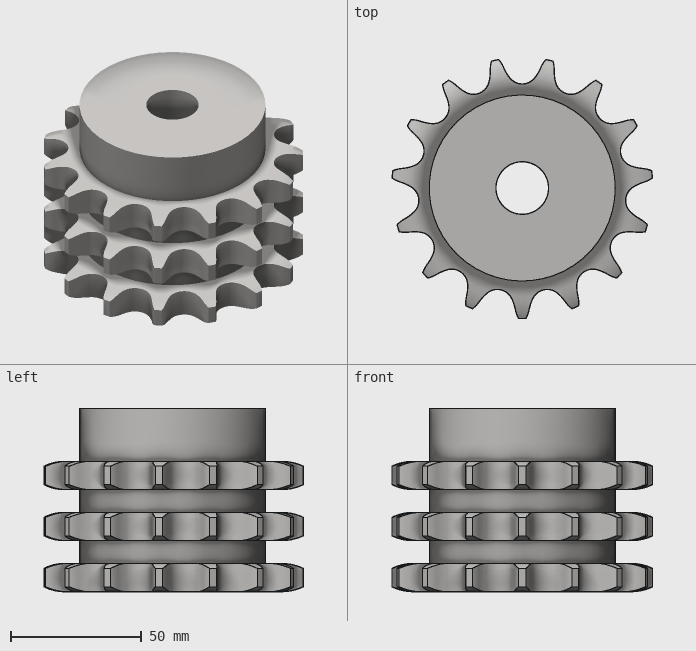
import cadquery as cq
import math


tooth_count = 15
pitch_diameter = 91.6
outer_diameter = 99.8
roller_diameter = 11.9
seat_clearance = 0.04
row_count = 3
row_spacing = 19.5
tooth_width = 10.8
tip_relief_radius = 19.0
tip_relief_drop = 1.9
hub_diameter = 71.0
bore_diameter = 20.0
total_height = 70.0

pitch_radius = pitch_diameter / 2
outer_radius = outer_diameter / 2
half_pitch_angle = 180 / tooth_count

seat_angle = 35 + 60 / tooth_count
working_angle = 18 - 56 / tooth_count
tip_angle = 17 - 64 / tooth_count
seat_radius = 0.5025 * roller_diameter + seat_clearance
working_radius = 1.3025 * roller_diameter + seat_clearance
working_offset = 0.8 * roller_diameter
tip_offset = 1.4 * roller_diameter
straight_length = (
    tip_offset * math.sin(math.radians(tip_angle))
    - working_offset * math.sin(math.radians(working_angle))
)


def polar(center, radius, degrees):
    """Point at a distance and direction from a centre."""
    angle = math.radians(degrees)
    return (center[0] + radius * math.cos(angle), center[1] + radius * math.sin(angle))


def turned(point, degrees):
    """Point turned about the sprocket axis."""
    distance = math.hypot(point[0], point[1])
    return polar((0, 0), distance, math.degrees(math.atan2(point[1], point[0])) + degrees)


def flank_points():
    """Right flank of the gap centred on +Y, from the bottom of the seat to the pointed tip."""
    flank_angle = seat_angle - working_angle
    roller_center = (0, pitch_radius)

    seat_bottom = polar(roller_center, seat_radius, -90)
    seat_middle = polar(roller_center, seat_radius, -(90 + seat_angle) / 2)
    seat_end = polar(roller_center, seat_radius, -seat_angle)

    working_center = polar(roller_center, working_offset, 180 - seat_angle)
    working_middle = polar(working_center, working_radius, working_angle / 2 - seat_angle)
    working_end = polar(working_center, working_radius, -flank_angle)

    straight_end = polar(working_end, straight_length, 90 - flank_angle)

    tip_center = polar(roller_center, tip_offset, -half_pitch_angle)
    tip_radius = math.dist(straight_end, tip_center)
    half_pitch = pitch_radius * math.sin(math.radians(half_pitch_angle))
    tip_start_direction = 180 - flank_angle
    tip_end_direction = 180 - half_pitch_angle - math.degrees(
        math.acos((tip_offset - half_pitch) / tip_radius)
    )
    tip_middle = polar(tip_center, tip_radius, (tip_start_direction + tip_end_direction) / 2)
    tip_end = polar(tip_center, tip_radius, tip_end_direction)

    return [
        seat_bottom, seat_middle, seat_end, working_middle, working_end,
        straight_end, tip_middle, tip_end,
    ]


def make_toothed_prism():
    """Full-width prism of pointed teeth, one tooth gap after another clockwise."""
    right_flank = flank_points()
    left_flank = [(-x, y) for x, y in reversed(right_flank)]
    outline = cq.Workplane("XY").moveTo(*left_flank[0])
    for index in range(tooth_count):
        turn = -2 * half_pitch_angle * index
        left = [turned(point, turn) for point in left_flank]
        right = [turned(point, turn) for point in right_flank]
        outline = (
            outline
            .threePointArc(left[1], left[2])
            .lineTo(*left[3])
            .threePointArc(left[4], left[5])
            .threePointArc(left[6], left[7])
            .threePointArc(right[1], right[2])
            .threePointArc(right[3], right[4])
            .lineTo(*right[5])
            .threePointArc(right[6], right[7])
        )
    return outline.close().extrude(tooth_width)


def make_row_blank():
    """Disc with both faces rounded off toward the tooth tips."""
    relief_angle = math.degrees(math.acos(1 - tip_relief_drop / tip_relief_radius))
    flat_radius = outer_radius - tip_relief_radius * math.sin(math.radians(relief_angle))
    upper_center = (flat_radius, tooth_width - tip_relief_radius)
    lower_center = (flat_radius, tip_relief_radius)
    return (
        cq.Workplane("XZ")
        .lineTo(flat_radius, 0)
        .threePointArc(
            polar(lower_center, tip_relief_radius, relief_angle / 2 - 90),
            (outer_radius, tip_relief_drop),
        )
        .lineTo(outer_radius, tooth_width - tip_relief_drop)
        .threePointArc(
            polar(upper_center, tip_relief_radius, 90 - relief_angle / 2),
            (flat_radius, tooth_width),
        )
        .lineTo(0, tooth_width)
        .close()
        .revolve(360, (0, 0), (0, 1))
    )


result = cq.Workplane("XY").circle(hub_diameter / 2).extrude(total_height)
toothed_row = make_row_blank().intersect(make_toothed_prism())
for row in range(row_count):
    result = result.union(toothed_row.translate((0, 0, row * row_spacing)))

bore = cq.Workplane("XY").circle(bore_diameter / 2).extrude(total_height)
result = result.cut(bore)